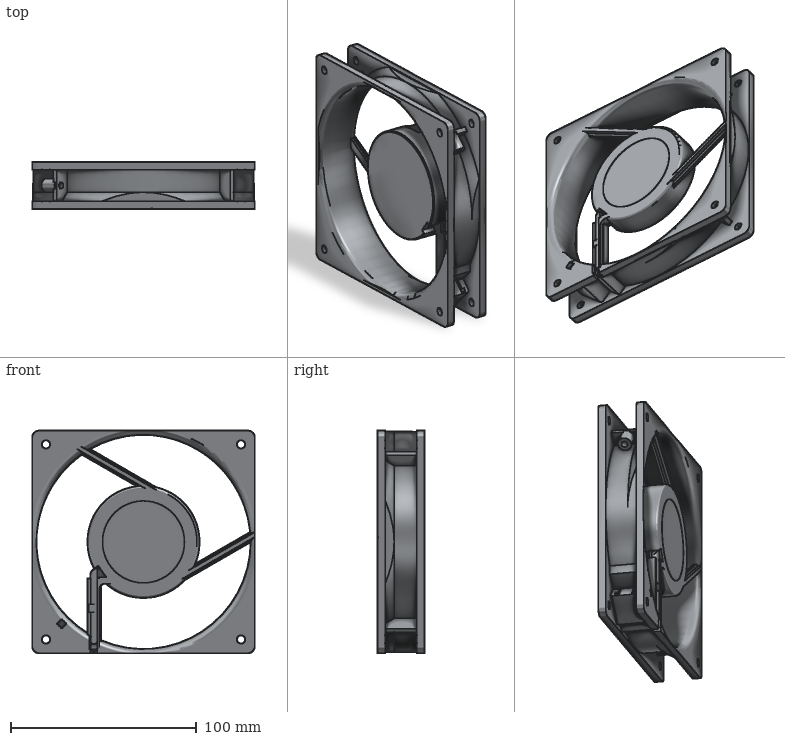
import cadquery as cq
import math

side = 120.0
depth = 25.5
flange_thickness = 4.2
corner_radius = 4.0
mount_pitch = 105.0
mount_diameter = 4.3

front = -depth / 2
back = depth / 2
front_inner = front + flange_thickness
back_inner = back - flange_thickness

bore_radius = 57.6
lip_radius = 3.7
outlet_radius = 2.8
outlet_flat = 58.1
duct_radius = 59.5
flare_start = -3.7
flare_radius = 63.6

rib_thickness = 2.8
rib_tip = 67.3
boss_diameter = 7.5
boss_bore = 3.4
boss_distance = 64.1
boss_height = 9.8

pad_reach = 60.8
pad_half_width = 23.0
pad_left = -51.5
terminal_block_reach = 69.0
terminal_block_top = 2.8
terminal_block_bottom = -14.5
terminal_chamfer = 1.1
pin_spacing = 8.2
pin_start = 58.2
pin_width = 0.7
pin_tab = 1.8
window_size = 3.6
window_distance = 62.3

hub_radius = 30.2
hub_depth = 13.2
hub_edge_radius = 1.5
hub_back_chamfer = 0.6
label_radius = 22.1
label_recess = 0.1
notch_angle = 216.0
notch_floor = 27.4
notch_width = 7.7

spoke_offset = 26.5
spoke_face_width = 2.3
spoke_base_width = 4.8
spoke_shoulder_width = 2.9
spoke_shoulder_depth = 1.5
spoke_base_depth = 2.6
spoke_depth = 4.1
plain_spoke_angles = (30, 150)

channel_left = -30.2
channel_right = -22.8
channel_top = -19.7
channel_depth = 5.9
left_wall = 1.9
left_wall_drop = 1.7
right_wall = 1.1
right_step = 1.0
cable_width = 3.8
cable_edge_radius = 1.9
cable_top = -14.3
cable_top_radius = 3.6
cable_bottom = -55.0
cable_bottom_radius = 1.8
cable_recess = 1.0
clip_top = -33.6
clip_height = 4.2
clip_width = 3.5
clip_overhang = 0.7
relief_bottom = -57.8
relief_top = -51.0
relief_left = -29.2
exit_width = 3.6
web_top = -19.1
web_bottom = -22.5
web_fillet = 3.0
web_right = -16.8


def box(x0, x1, y0, y1, z0, z1):
    """Box between opposite corners."""
    return cq.Workplane().box(x1 - x0, y1 - y0, z1 - z0, centered=False).translate((x0, y0, z0))


def disc(radius, y0, y1):
    """Cylinder along Y between two depths."""
    return cq.Workplane("XZ", origin=(0, y0, 0)).circle(radius).extrude(y0 - y1)


def turn(body, angle):
    """Rotate about the fan axis, counter-clockwise as seen from the front."""
    return body.rotate((0, 0, 0), (0, 1, 0), -angle)


def flange(y0):
    plate = box(-side / 2, side / 2, y0, y0 + flange_thickness, -side / 2, side / 2)
    return plate.edges("|Y").fillet(corner_radius)


def duct_body():
    """Solid duct, flared behind the front flange except in the lower left quarter."""
    flare = (
        cq.Workplane("XY")
        .moveTo(0, flare_start)
        .lineTo(duct_radius, flare_start)
        .lineTo(flare_radius, front_inner)
        .lineTo(0, front_inner)
        .close()
        .revolve(360, (0, 0, 0), (0, 1, 0))
    )
    limit = duct_radius
    flare = flare.intersect(box(-limit, limit, front, back, -limit, limit))
    flare = flare.cut(box(-side, 0, front, back, -side, 0))
    return disc(duct_radius, front_inner, back_inner).union(flare)


def corner_rib(angle):
    half = rib_thickness / 2
    return turn(box(duct_radius - 1.2, rib_tip, front_inner, back_inner, -half, half), angle)


def screw_boss():
    """Boss on the upper left rib, square to it."""
    boss = cq.Workplane("XY").center(boss_distance, 0).circle(boss_diameter / 2).extrude(boss_height)
    return turn(boss, 135)


def screw_bore():
    bore = cq.Workplane("XY", origin=(boss_distance, 0, -rib_thickness))
    return turn(bore.circle(boss_bore / 2).extrude(boss_height + 2 * rib_thickness), 135)


def terminal_housing():
    """Pad, stepped block and two pins, built along +X, then turned to the corner."""
    inner = bore_radius - 2.4
    pad = box(inner, pad_reach, front_inner, back_inner, -pad_half_width, pad_half_width)
    housing = box(
        inner, terminal_block_reach, front_inner, back_inner, -terminal_block_top, -terminal_block_bottom
    )
    housing = housing.edges(">X and |Z").chamfer(terminal_chamfer)
    pin_base = -terminal_block_top
    for sign in (-1, 1):
        y = sign * pin_spacing / 2
        pin = cq.Workplane().box(terminal_block_reach - pin_start, pin_width, 2 * pin_width)
        pin = pin.translate(((terminal_block_reach + pin_start) / 2, y, pin_base))
        tab = cq.Workplane().box(pin_tab, pin_tab, 2 * pin_width)
        tab = tab.translate((terminal_block_reach - pin_tab, y + sign * pin_tab / 2, pin_base))
        housing = housing.union(pin).union(tab)
    beyond_pad = box(-side, pad_left, front, back, -side, side)
    return turn(pad, 225).cut(beyond_pad).union(turn(housing, 225))


def flared_bore(radius, end, inward):
    """Bore from mid-depth to an end face, rounded outwards by a quarter circle at that end."""
    arc_middle = radius * (1 - math.sqrt(0.5))
    return (
        cq.Workplane("XY")
        .lineTo(bore_radius, 0)
        .lineTo(bore_radius, end + inward * radius)
        .threePointArc(
            (bore_radius + arc_middle, end + inward * arc_middle), (bore_radius + radius, end)
        )
        .lineTo(0, end)
        .close()
        .revolve(360, (0, 0, 0), (0, 1, 0))
    )


def bore_cut():
    """Bore with a round front lip and a rear lip flattened on its four sides."""
    inlet = flared_bore(lip_radius, front, 1)
    outlet = flared_bore(outlet_radius, back, -1)
    limit = outlet_flat
    return inlet.union(outlet.intersect(box(-limit, limit, 0, back, -limit, limit)))


def latch_window():
    half = window_size / 2
    window = box(window_distance - half, window_distance + half, front, front_inner, -half, half)
    return turn(window, 225)


def hub():
    body = disc(hub_radius, front, front + hub_depth).faces("<Y").edges().fillet(hub_edge_radius)
    body = body.faces(">Y").edges().chamfer(hub_back_chamfer)
    half = notch_width / 2
    notch = turn(box(notch_floor, hub_radius + 1.2, front, back, -half, half), notch_angle)
    return body.cut(notch).cut(disc(label_radius, front, front + label_recess))


def spoke(angle):
    """Stepped bar tangent to the hub, pointing along the given angle."""
    half_profile = [
        (front, spoke_face_width / 2),
        (front + spoke_shoulder_depth, spoke_shoulder_width / 2),
        (front + spoke_base_depth, spoke_base_width / 2),
        (front + spoke_depth, spoke_base_width / 2),
    ]
    upper = [(y, half - spoke_offset) for y, half in half_profile]
    lower = [(y, -half - spoke_offset) for y, half in reversed(half_profile)]
    bar = cq.Workplane("YZ").polyline(upper + lower).close().extrude(side / 2)
    return turn(bar, angle)


def cable_channel():
    """Open channel with a low left wall, a full right wall and a step outside it."""
    y1 = front + channel_depth
    wall_right = channel_right - right_step
    low = front + left_wall_drop
    body = box(channel_left, channel_right, low, y1, -side / 2, channel_top)
    wall = box(wall_right - right_wall, wall_right, front, y1, -side / 2, channel_top)
    groove_right = wall_right - right_wall
    groove = box(channel_left + left_wall, groove_right, low, y1 - left_wall, -side / 2, channel_top)
    arc_middle = web_fillet * (1 - math.sqrt(0.5))
    web = (
        cq.Workplane("XZ", origin=(0, front, 0))
        .moveTo(wall_right, web_top)
        .lineTo(web_right, web_top)
        .lineTo(web_right, web_bottom)
        .lineTo(wall_right + web_fillet, web_bottom)
        .threePointArc(
            (wall_right + arc_middle, web_bottom - arc_middle), (wall_right, web_bottom - web_fillet)
        )
        .close()
        .extrude(-spoke_depth)
    )
    return body.cut(groove).union(wall).union(web)


cable_right = channel_right - right_step - right_wall
cable_left = cable_right - cable_width


def cable():
    """Cable cover with rounded left edge and ends, a flat clip across it and a seat joining it to the hub."""
    y0 = front + cable_recess
    floor = front + channel_depth - left_wall
    block = box(cable_left, cable_right, y0, floor, cable_bottom, cable_top)
    outline = block.edges("|Y and <X and >Z").fillet(cable_top_radius)
    outline = outline.edges("|Y and <Z").fillet(cable_bottom_radius)
    cover = outline.intersect(block.edges("|Z and <X and <Y").fillet(cable_edge_radius))
    clip_left = cable_left - clip_overhang
    clip = box(clip_left, clip_left + clip_width, y0, floor, clip_top - clip_height, clip_top)
    seat = box(cable_left + cable_edge_radius, web_right, floor, floor + left_wall, web_bottom, cable_top)
    return cover.union(clip).union(seat)


def cable_relief():
    """Opening in the front flange behind the cable, with a narrow exit at the edge."""
    relief = box(relief_left, channel_right - right_step, front, front_inner, relief_bottom, relief_top)
    x0 = (cable_left + cable_right - exit_width) / 2
    return relief.union(box(x0, x0 + exit_width, front, front_inner, -side / 2, relief_bottom))


envelope = flange(front).union(flange(back_inner)).union(duct_body())
frame = envelope.union(screw_boss()).union(terminal_housing())
for rib_angle in (45, 135, 315):
    frame = frame.union(corner_rib(rib_angle))
frame = frame.cut(bore_cut()).cut(latch_window()).cut(screw_bore()).cut(cable_relief())
mounts = cq.Workplane("XZ", origin=(0, back, 0)).rect(mount_pitch, mount_pitch, forConstruction=True)
frame = frame.cut(mounts.vertices().circle(mount_diameter / 2).extrude(depth))

supports = cable_channel()
for spoke_angle in plain_spoke_angles:
    supports = supports.union(spoke(spoke_angle))
supports = supports.intersect(envelope).cut(cable_relief().cut(box(-side, side, front, back, relief_bottom, 0)))

result = frame.union(supports).union(hub()).union(cable())